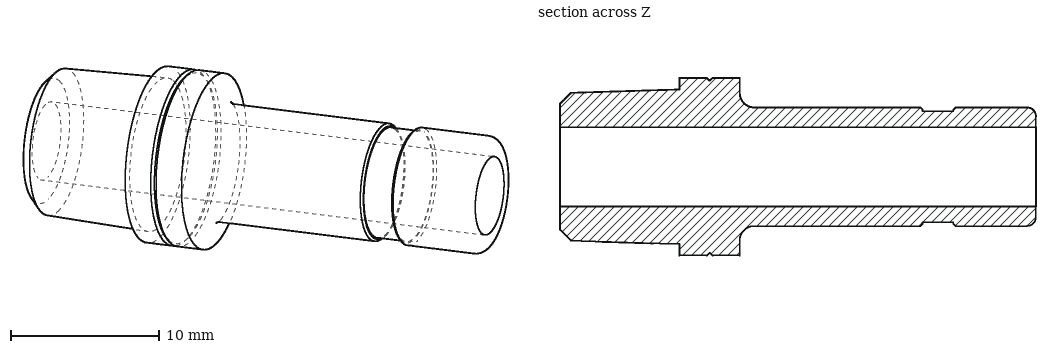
import cadquery as cq
import math

total_length = 32.1
gauge_x = 4.1
flange_start = 8.05
flange_end = 12.13
flange_vee_width = 0.4
ring_groove_start = 24.45
ring_groove_end = 26.5

bore_radius = 2.65
gauge_radius = 5.1
flange_radius = 6.0
flange_vee_depth = 0.2
tube_radius = 4.0
ring_groove_depth = 0.25

nose_chamfer = 0.75
neck_fillet = 0.95
groove_edge_chamfer = 0.15
tail_fillet = 0.6

head_taper = 1 / 32


def head_radius(x):
    """Radius of the tapered head at station x."""
    return gauge_radius + head_taper * (x - gauge_x)


def ring_cutter(start, end, outer_radius, depth):
    """Ring that cuts a square groove into a cylinder of outer_radius."""
    clearance = 0.32
    return (
        cq.Workplane("YZ", origin=(start, 0, 0))
        .circle(outer_radius + clearance)
        .circle(outer_radius - depth)
        .extrude(end - start)
    )


def turned_body():
    """Solid of revolution: tapered head, V-grooved flange and tube with its neck fillet and rounded tail."""
    tail_start = total_length - tail_fillet
    tail_center_radius = tube_radius - tail_fillet
    cos_45 = math.cos(math.pi / 4)

    vee_center = (flange_start + flange_end) / 2
    vee_half_width = flange_vee_width / 2

    neck_end = flange_end + neck_fillet
    neck_center_radius = tube_radius + neck_fillet
    neck_mid = (neck_end - neck_fillet * cos_45, neck_center_radius - neck_fillet * cos_45)
    tail_mid = (tail_start + tail_fillet * cos_45, tail_center_radius + tail_fillet * cos_45)

    profile = (
        cq.Workplane("XY")
        .moveTo(0, bore_radius)
        .lineTo(0, head_radius(nose_chamfer) - nose_chamfer)
        .lineTo(nose_chamfer, head_radius(nose_chamfer))
        .lineTo(flange_start, head_radius(flange_start))
        .lineTo(flange_start, flange_radius)
        .lineTo(vee_center - vee_half_width, flange_radius)
        .lineTo(vee_center, flange_radius - flange_vee_depth)
        .lineTo(vee_center + vee_half_width, flange_radius)
        .lineTo(flange_end, flange_radius)
        .lineTo(flange_end, neck_center_radius)
        .threePointArc(neck_mid, (neck_end, tube_radius))
        .lineTo(tail_start, tube_radius)
        .threePointArc(tail_mid, (total_length, tail_center_radius))
        .lineTo(total_length, bore_radius)
        .close()
    )
    return profile.revolve(360, (0, 0, 0), (1, 0, 0))


def cut_ring_groove(body):
    """Cut the retaining groove in the tube and chamfer its two outer edges."""
    grooved = body.cut(ring_cutter(ring_groove_start, ring_groove_end, tube_radius, ring_groove_depth))
    margin = 0.03
    edge_zone = cq.selectors.BoxSelector(
        (ring_groove_start - margin, -flange_radius, -flange_radius),
        (ring_groove_end + margin, flange_radius, flange_radius),
        boundingbox=True,
    )
    groove_edges = grooved.edges("%CIRCLE").edges(edge_zone)
    outer_edges = groove_edges.filter(
        lambda edge: edge.radius() > tube_radius - ring_groove_depth / 2
    )
    return outer_edges.chamfer(groove_edge_chamfer)


result = cut_ring_groove(turned_body())